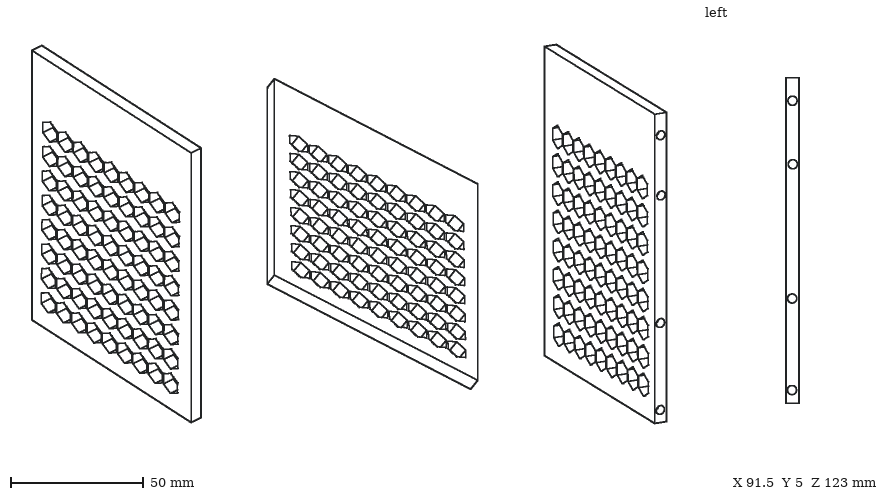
import cadquery as cq

plate_width = 91.5
plate_thickness = 5.0
plate_height = 123.0

columns = 9
rows = 8
grid_width = 70.2
column_pitch = grid_width / (columns - 1)
row_pitch = 11.2
hex_corner_diameter = 9.2
hex_sides = 6
grid_x = -0.7
grid_z = -10.1
grid_tilt = 0.7

edge_hole_diameter = 3.5
edge_hole_depth = 4.9
edge_hole_centres = [(0, 52.8), (-0.1, 28.8), (0.1, -21.9), (0.18, -56.5)]


def make_plate():
    return cq.Workplane("XY").box(plate_width, plate_thickness, plate_height)


def make_hex_holes():
    hexagons = (
        cq.Sketch()
        .rarray(column_pitch, row_pitch, columns, rows)
        .regularPolygon(hex_corner_diameter / 2, hex_sides)
    )
    return (
        cq.Workplane("XZ", origin=(grid_x, plate_thickness / 2, grid_z))
        .transformed(rotate=(0, 0, -grid_tilt))
        .placeSketch(hexagons)
        .extrude(plate_thickness)
    )


def make_edge_holes():
    return (
        cq.Workplane("YZ", origin=(-plate_width / 2, 0, 0))
        .pushPoints(edge_hole_centres)
        .circle(edge_hole_diameter / 2)
        .extrude(edge_hole_depth)
    )


result = make_plate().cut(make_hex_holes()).cut(make_edge_holes())